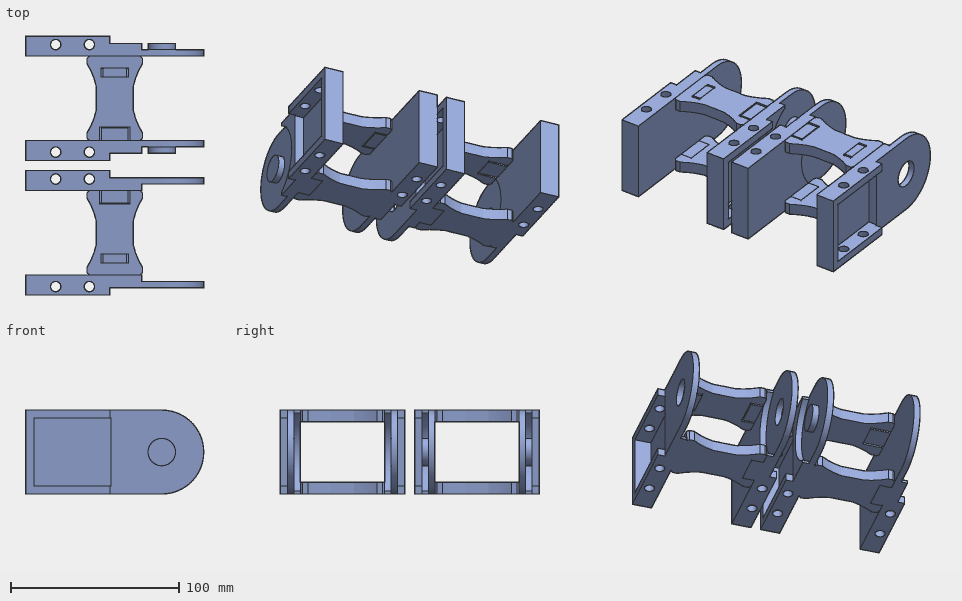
import cadquery as cq

total_width = 154.0
height = 50.0
inner_width = 50.0
half_inner = inner_width / 2
half_height = height / 2

inner_layer = 3.8
middle_layer = 3.8
outer_layer = 4.3
plate_thickness = inner_layer + middle_layer + outer_layer
plate_length = 106.0
outer_layer_length = 50.0
eye_radius = half_height
pivot_x = plate_length - eye_radius
cleared_length = 69.1
eye_clearance_radius = 26.0
pivot_diameter = 16.3

rail = 5.0
recess_end = 50.7
recess_depth = 10.0
screw_diameter = 6.0
screw_x = 17.9
screw_spacing = 20.0
screw_inset = 5.1

cross_x = 53.0
cross_width = 33.1
cross_thickness = 7.1
waist_width = 22.2
waist_length = 14.2
waist_radius = 40.0
shoulder_length = 4.5
corner_chamfer = 1.4

tab_width = 15.9
tab_length = 7.4
tab_drop = 0.2
tab_slot_width = 18.2
tab_slot_length = 8.0
bridge_tab_width = tab_slot_width
hook_width = 13.7
hook_slot_width = 16.3
hook_length = 5.4
hook_inset = 7.1
hook_reach = hook_inset + hook_length
arm_thickness = cross_thickness / 2

link_width = inner_width + 2 * plate_thickness
link_offset = (total_width - link_width) / 2
lid_bottom = half_height - cross_thickness


def block(x_min, x_max, y_min, y_max, z_min, z_max):
    """Axis-aligned box given by its limits."""
    size = (x_max - x_min, y_max - y_min, z_max - z_min)
    return cq.Workplane().box(*size, centered=False).translate((x_min, y_min, z_min))


def wall_block(width, y_min, reach, z_min, z_max):
    """Box centred on the cross piece that ends at y_min + reach."""
    half = width / 2
    return block(cross_x - half, cross_x + half, y_min, y_min + reach, z_min, z_max)


def pivot_cylinder(radius, y_min, thickness):
    """Cylinder around the pivot axis, running along Y."""
    plane = cq.Workplane("XZ", origin=(pivot_x, y_min, 0))
    return plane.circle(radius).extrude(-thickness)


def eye_layer(y_min, thickness):
    """Plate layer with a rounded end around the pivot."""
    return (
        cq.Workplane("XZ", origin=(0, y_min, 0))
        .moveTo(0, -half_height)
        .lineTo(pivot_x, -half_height)
        .threePointArc((plate_length, 0), (pivot_x, half_height))
        .lineTo(0, half_height)
        .close()
        .extrude(-thickness)
    )


def cleared_layer(y_min, thickness):
    """Plate layer that stops at the swing relief around the pivot."""
    strip = block(0, cleared_length, y_min, y_min + thickness, -half_height, half_height)
    return strip.cut(pivot_cylinder(eye_clearance_radius, y_min, thickness))


def side_plate(has_pin):
    """Side plate on the +Y side of a link, with a pin or with a hole at its eye."""
    middle_y = half_inner + inner_layer
    outer_y = middle_y + middle_layer
    outer_face = half_inner + plate_thickness
    plate = block(0, outer_layer_length, outer_y, outer_face, -half_height, half_height)
    if has_pin:
        plate = plate.union(eye_layer(half_inner, inner_layer))
        plate = plate.union(cleared_layer(middle_y, middle_layer))
        plate = plate.union(pivot_cylinder(pivot_diameter / 2, middle_y, middle_layer))
    else:
        plate = plate.union(cleared_layer(half_inner, inner_layer))
        plate = plate.union(eye_layer(middle_y, middle_layer))
        plate = plate.cut(pivot_cylinder(pivot_diameter / 2, middle_y, middle_layer))

    recess_top = half_height - rail
    recess = block(rail, recess_end, outer_face - recess_depth, outer_face, -recess_top, recess_top)
    screws = (
        cq.Workplane("XY", origin=(0, outer_face - screw_inset, -half_height))
        .pushPoints([(screw_x, 0), (screw_x + screw_spacing, 0)])
        .circle(screw_diameter / 2)
        .extrude(height)
    )
    return plate.cut(recess).cut(screws)


def cross_outline(z_min):
    """Waisted plate that spans the gap between two side plates."""
    half = cross_width / 2
    end_half = half - corner_chamfer
    waist_half = waist_width / 2
    waist_y = waist_length / 2
    shoulder_y = half_inner - shoulder_length
    corner_start = half_inner - corner_chamfer
    return (
        cq.Workplane("XY", origin=(cross_x, 0, z_min))
        .moveTo(end_half, -half_inner)
        .lineTo(half, -corner_start)
        .lineTo(half, -shoulder_y)
        .radiusArc((waist_half, -waist_y), waist_radius)
        .lineTo(waist_half, waist_y)
        .radiusArc((half, shoulder_y), waist_radius)
        .lineTo(half, corner_start)
        .lineTo(end_half, half_inner)
        .lineTo(-end_half, half_inner)
        .lineTo(-half, corner_start)
        .lineTo(-half, shoulder_y)
        .radiusArc((-waist_half, waist_y), waist_radius)
        .lineTo(-waist_half, -waist_y)
        .radiusArc((-half, -shoulder_y), waist_radius)
        .lineTo(-half, -corner_start)
        .lineTo(-end_half, -half_inner)
        .close()
        .extrude(cross_thickness)
    )


def hook_shape(width):
    """Arm under the lid with a hook that rises to the top of the lid."""
    arm_y = half_inner - hook_reach
    arm = wall_block(width, arm_y, hook_reach, lid_bottom, lid_bottom + arm_thickness)
    return arm.union(wall_block(width, arm_y, hook_length, lid_bottom, half_height))


def make_lid():
    """Removable top cross piece: latched at +Y, seated on a tab at -Y."""
    tab_slot = wall_block(tab_slot_width, -half_inner, tab_slot_length, lid_bottom, half_height)
    return cross_outline(lid_bottom).cut(tab_slot).cut(hook_shape(hook_slot_width))


def bridge_tab():
    """Tab of one side plate that fits snugly into the bridge."""
    tab_y = half_inner - tab_length
    return wall_block(bridge_tab_width, tab_y, tab_length, -half_height, cross_thickness - half_height)


def lid_tab():
    """Tab at -Y that fits into the slot of the lid."""
    return wall_block(tab_width, -half_inner, tab_length, lid_bottom, half_height - tab_drop)


def make_link(has_pin, mirrored):
    """The three solids of a link: side with tab, side with bridge, and lid."""
    lid = make_lid()
    plus_y_insert = hook_shape(hook_width)
    minus_y_insert = lid_tab()
    if mirrored:
        lid = lid.mirror("XZ")
        plus_y_insert = lid_tab().mirror("XZ")
        minus_y_insert = hook_shape(hook_width).mirror("XZ")

    plate = side_plate(has_pin)
    tab = bridge_tab()
    bridge = cross_outline(-half_height).cut(tab)
    tabbed_side = plate.union(plus_y_insert).union(tab)
    bridge_side = plate.mirror("XZ").union(minus_y_insert).union(bridge)
    return [tabbed_side, bridge_side, lid]


pin_link = [body.translate((0, link_offset, 0)) for body in make_link(True, False)]
eye_link = [body.translate((0, -link_offset, 0)) for body in make_link(False, True)]

result = cq.Compound.makeCompound([body.val() for body in pin_link + eye_link])